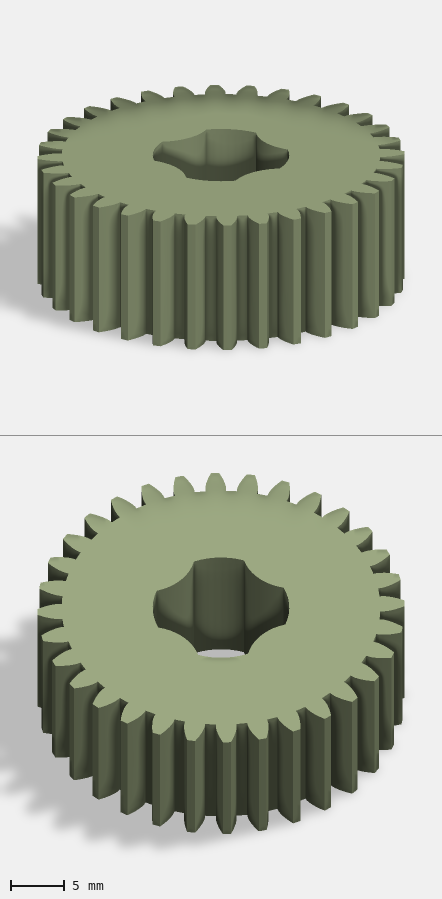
import cadquery as cq
import math

outer_diameter = 34.0
face_width = 12.5
tooth_count = 32
pressure_angle = math.radians(20)
dedendum_factor = 1.25
flank_point_count = 8

bore_radius = 6.32
lobe_tip_radius = 5.1
lobe_arc_radius = 4.9
lobe_count = 4

module = outer_diameter / (tooth_count + 2)
tip_radius = outer_diameter / 2
pitch_radius = module * tooth_count / 2
root_radius = pitch_radius - dedendum_factor * module
base_radius = pitch_radius * math.cos(pressure_angle)
tooth_pitch_angle = 2 * math.pi / tooth_count


def polar(radius, angle):
    return (radius * math.cos(angle), radius * math.sin(angle))


def involute(angle):
    return math.tan(angle) - angle


def tooth_half_angle(radius):
    """Half the angle that a tooth spans at a radius on its involute flank."""
    flank_angle = math.acos(min(1.0, base_radius / radius))
    return tooth_pitch_angle / 4 + involute(pressure_angle) - involute(flank_angle)


def gear_blank():
    """Toothed disc with involute flanks that run radially below the base circle."""
    base_half_angle = tooth_half_angle(base_radius)
    flank_step = (tip_radius - base_radius) / (flank_point_count - 1)
    flank_radii = [base_radius + i * flank_step for i in range(flank_point_count)]

    outline = cq.Workplane("XY").moveTo(*polar(root_radius, -base_half_angle))
    for tooth in range(tooth_count):
        center = tooth * tooth_pitch_angle
        rising = [polar(r, center - tooth_half_angle(r)) for r in flank_radii]
        falling = [polar(r, center + tooth_half_angle(r)) for r in reversed(flank_radii)]
        gap_middle = polar(root_radius, center + tooth_pitch_angle / 2)
        next_tooth_foot = polar(root_radius, center + tooth_pitch_angle - base_half_angle)
        outline = (
            outline.lineTo(*rising[0])
            .spline(rising[1:], includeCurrent=True)
            .threePointArc(polar(tip_radius, center), falling[0])
            .spline(falling[1:], includeCurrent=True)
            .lineTo(*polar(root_radius, center + base_half_angle))
            .threePointArc(gap_middle, next_tooth_foot)
        )
    return outline.close().extrude(face_width)


def lobed_bore():
    """Round through bore with convex lobes left standing on its wall."""
    lobes = (
        cq.Workplane("XY")
        .polarArray(lobe_tip_radius + lobe_arc_radius, 0, 360, lobe_count)
        .circle(lobe_arc_radius)
        .extrude(face_width)
    )
    return cq.Workplane("XY").circle(bore_radius).extrude(face_width).cut(lobes)


result = gear_blank().cut(lobed_bore())